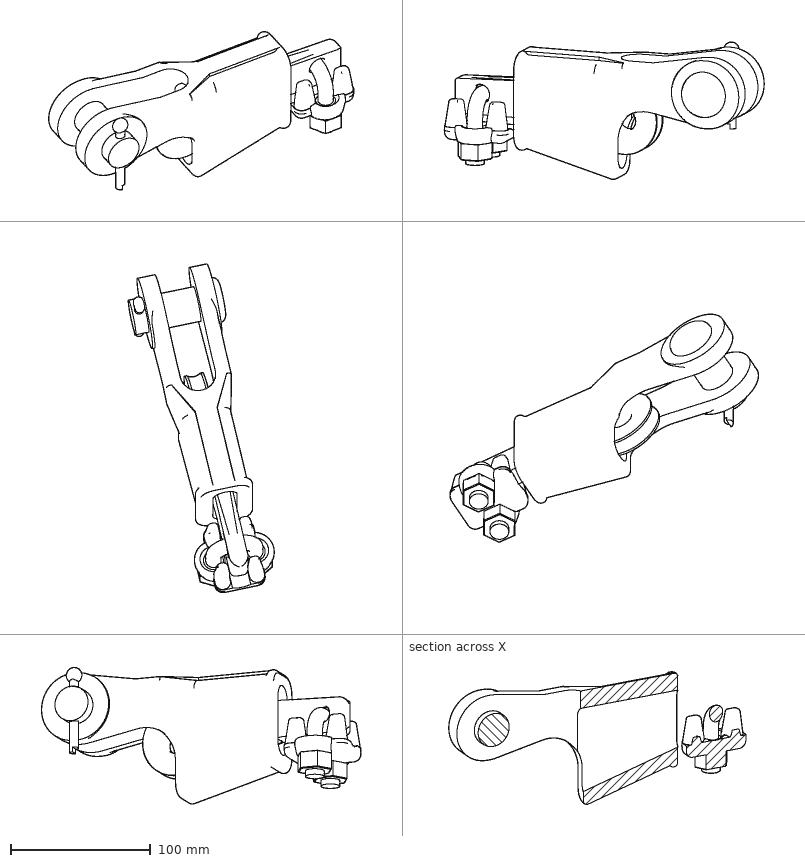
import cadquery as cq
import math


far = 300.0
sliver = 0.05
margin = 0.2

total_width = 65.94
total_length = 229.95

fork_half_gap = 12.7
ear_half_width = 25.4
ear_radius = 24.8
ear_stretch = 2.0
arm_half_width = 23.7
arm_edge_radius = 3.5
rim_radius = 3.4
arm_bend_y = 43.7

top_z = 17.5
body_half_width = 17.8
body_corner_radius = 9.8
spine_half_width = 8.0
spine_height = 2.5
body_top_z = top_z - spine_height
mouth_y = 72.0
back_y = 148.3
bottom_angle = math.radians(15)
bottom_slope = math.tan(bottom_angle)
mouth_bottom_z = -71.85

flare_end_y = 63.3
flare_start_y = 87.0
flare_end_step = 0.3
flare_cone_z = -16.5
flare_cone_y = 47.0

throat_radius = 25.4
throat_y = mouth_y - throat_radius
throat_z = -42.3

lip_height = 3.1
lip_length = 6.4
lip_edge_radius = 3.0
lip_root_radius = 2.8
lip_bottom_z = -54.6

pocket_half_width = 8.9
pocket_top_z = 7.5
pocket_floor = 7.9

pin_radius = 12.7
pin_end_x = 34.9
pin_head_radius = 16.5
pin_head_thickness = total_width - pin_end_x - ear_half_width
pin_head_fillet = 5.0

cotter_x = 29.85
cotter_radius = 3.3
cotter_eye_radius = 5.75
cotter_eye_half_width = 3.55
cotter_top_z = 27.6
cotter_long_leg_z = -35.2
cotter_short_leg_z = -31.7

wedge_half_width = 6.65
wedge_radius = 25.2
wedge_y = 68.7
wedge_z = -27.3
wedge_hole_y = 68.0
wedge_hole_z = -27.9
wedge_hole_radius = 7.7
wedge_hole_rounding = 2.7
wedge_top_angle = math.radians(1.9)
wedge_bottom_angle = bottom_angle
tail_end_y = 199.6
tail_bottom_z = -31.7
tail_corner_radius = 5.0
tail_hole_z = -17.1
tail_hole_radius = 6.9
tail_hole_rounding = 3.1
groove_radius = 8.5
groove_depth = 1.6
groove_fade_start_y = 140.0
groove_fade_end_y = 194.0

clip_y = 179.0
rod_radius = 5.55
thread_radius = 6.75
leg_x = 15.3
bend_z = -32.7
thread_end_z = -65.7
nut_across_corners = 25.8
nut_bottom_z = -61.6
nut_chamfer = 0.6
saddle_half_x = 18.4
saddle_half_y = total_length - ear_radius - ear_stretch - clip_y
saddle_bottom_z = -50.0
saddle_top_z = -40.0
saddle_corner_radius = 6.0
saddle_bottom_radius = 5.7
saddle_groove_radius = 12.0
saddle_groove_depth = 2.0
finger_base_z = -43.0
finger_top_z = -20.75
finger_base = (6.9, saddle_half_x, 6.8, saddle_half_y)
finger_top = (7.8, 15.5, 10.7, 20.6)
finger_base_radius = 5.7
finger_edge_radius = 2.8
finger_top_radius = 1.9
boss_radius = 14.8
boss_bottom_radius = 13.3
boss_bottom_z = -49.5
boss_top_z = -38.3
boss_rim_z = -42.0
boss_rim_radius = 1.8
boss_bottom_fillet = 1.5
boss_half_x = 28.9
recess_radius = 9.6
recess_depth = 2.5


def side_prism(sketch, half_width):
    """Extrude a YZ outline to both sides of the middle plane."""
    return sketch.extrude(half_width, both=True)


def x_cylinder(radius, y, z, half_length):
    return cq.Workplane("YZ").center(y, z).circle(radius).extrude(half_length, both=True)


def box(x_range, y_range, z_range):
    lengths = [r[1] - r[0] for r in (x_range, y_range, z_range)]
    return cq.Workplane("XY").box(*lengths, centered=False).translate((x_range[0], y_range[0], z_range[0]))


def bottom_z(y, z_at_mouth):
    return z_at_mouth + (y - mouth_y) * bottom_slope


def polar(y, z, radius, angle):
    return (y + radius * math.cos(angle), z + radius * math.sin(angle))


def round_bar(radius, start, end):
    """Round bar between two points of the YZ middle plane."""
    axis = cq.Vector(0, end[0] - start[0], end[1] - start[1])
    return cq.Workplane(cq.Solid.makeCylinder(radius, axis.Length, cq.Vector(0, *start), axis))


def arms():
    """Solid arm block, its sloped faces tangent to the ears and the throat."""
    rise_angle = math.atan2(top_z, arm_bend_y) + math.acos(ear_radius / math.hypot(arm_bend_y, top_z))
    throat_distance = math.hypot(throat_y, throat_z)
    fall_angle = math.atan2(throat_z, throat_y) - math.acos((ear_radius + throat_radius) / throat_distance)
    ear_low = polar(0, 0, ear_radius, fall_angle)
    throat_start = polar(throat_y, throat_z, -throat_radius, fall_angle)
    outline = (
        cq.Workplane("YZ")
        .moveTo(*polar(0, 0, ear_radius, rise_angle))
        .lineTo(arm_bend_y, top_z)
        .lineTo(flare_end_y, top_z)
        .lineTo(flare_end_y, flare_cone_z)
        .lineTo(flare_cone_y, flare_cone_z)
        .lineTo(flare_cone_y, throat_z)
        .lineTo(throat_start[0], throat_z)
        .lineTo(*throat_start)
        .lineTo(*ear_low)
        .close()
    )
    block = side_prism(outline, arm_half_width)
    upper_rims = cq.selectors.BoxSelector((-far, 0, top_z - margin), (far, flare_end_y - margin, ear_radius))
    return block.edges(upper_rims).edges("not |X").fillet(arm_edge_radius)


def flare_section(y, half_width, flat_half_width, step_z, side_z):
    """Section of the flare with a rounded shoulder under a flat top."""
    drop = step_z - side_z
    run = half_width - flat_half_width
    mid = (flat_half_width + run * math.sin(math.pi / 4), side_z + drop * math.sin(math.pi / 4))
    return (
        cq.Workplane("XZ", origin=(0, y, 0))
        .moveTo(-flat_half_width, top_z)
        .lineTo(flat_half_width, top_z)
        .lineTo(flat_half_width, step_z)
        .threePointArc(mid, (half_width, side_z))
        .lineTo(half_width, flare_cone_z)
        .lineTo(-half_width, flare_cone_z)
        .lineTo(-half_width, side_z)
        .threePointArc((-mid[0], mid[1]), (-flat_half_width, step_z))
        .close()
        .wires()
        .val()
    )


def flare():
    side_z = body_top_z - body_corner_radius
    wide_flat = arm_half_width - arm_edge_radius
    narrow = flare_section(flare_start_y, body_half_width, spine_half_width, body_top_z, side_z)
    step_z = top_z - flare_end_step
    wide = flare_section(flare_end_y, arm_half_width, wide_flat, step_z, top_z - arm_edge_radius)
    upper = cq.Workplane(cq.Solid.makeLoft([narrow, wide], True))
    small = flare_end_y - flare_cone_y
    large = flare_start_y - flare_cone_y
    half_outline = [(body_half_width, large), (arm_half_width, small), (arm_half_width, 0)]
    mirrored = [(-x, r) for x, r in reversed(half_outline)]
    cone = cq.Workplane("XY").polyline(half_outline + mirrored).close().revolve(360, (0, 0, 0), (1, 0, 0))
    cone = cone.translate((0, flare_cone_y, flare_cone_z))
    below = box((-far, far), (flare_cone_y, flare_start_y), (flare_cone_z - large, flare_cone_z))
    return upper.union(cone.intersect(below))


def body():
    outline = (
        cq.Workplane("YZ")
        .moveTo(mouth_y, body_top_z)
        .lineTo(back_y, body_top_z)
        .lineTo(back_y, bottom_z(back_y, mouth_bottom_z))
        .lineTo(mouth_y, mouth_bottom_z)
        .close()
    )
    shell = side_prism(outline, body_half_width)
    shell = shell.edges("not(|X or |Z)").fillet(body_corner_radius).union(lip())
    lip_start = back_y - lip_length
    lip_root = cq.selectors.BoxSelector((-far, lip_start - margin, -far), (far, lip_start + margin, far))
    shell = shell.edges(lip_root).fillet(lip_root_radius)
    spine = box((-spine_half_width, spine_half_width), (flare_start_y, back_y - lip_edge_radius), (0, top_z))
    return shell.union(spine)


def lip():
    half = body_half_width + lip_height
    ring = box((-half, half), (back_y - lip_length, back_y), (lip_bottom_z, top_z))
    ring = ring.edges("|Y").fillet(body_corner_radius + lip_height)
    return ring.faces("<Y or >Y").edges().fillet(lip_edge_radius)


def ears():
    outline = cq.Workplane("YZ").center(-ear_stretch / 2, 0)
    return side_prism(outline.slot2D(2 * ear_radius + ear_stretch, 2 * ear_radius), ear_half_width)


def pocket():
    """Wedge-shaped passage with a half-round floor and roof."""
    front_y = fork_half_gap
    end_y = back_y + pocket_half_width
    slant_radius = pocket_half_width * math.hypot(1, bottom_slope)
    floor_axis_z = mouth_bottom_z + pocket_floor + slant_radius
    floor_start = (front_y, bottom_z(front_y, floor_axis_z))
    floor_end = (end_y, bottom_z(end_y, floor_axis_z))
    roof_start = (front_y, pocket_top_z - pocket_half_width)
    roof_end = (end_y, pocket_top_z - pocket_half_width)
    sides = cq.Workplane("YZ").polyline([floor_start, floor_end, roof_end, roof_start]).close()
    passage = side_prism(sides, pocket_half_width)
    floor = round_bar(pocket_half_width, floor_start, floor_end)
    return passage.union(floor).union(round_bar(pocket_half_width, roof_start, roof_end))


def fork_gap():
    end_y = mouth_y - fork_half_gap
    gap = box((-fork_half_gap, fork_half_gap), (-2 * ear_radius, end_y), (-far, far))
    return gap.union(cq.Workplane("XY").center(0, end_y).circle(fork_half_gap).extrude(far, both=True))


def make_socket():
    blank = arms().union(flare()).union(body())
    blank = blank.cut(x_cylinder(throat_radius, throat_y, throat_z, far))
    blank = blank.cut(box((-far, far), (0, mouth_y), (-far, throat_z)))
    beside_ear = ear_radius / 2
    rim_box = cq.selectors.BoxSelector(
        (-margin, beside_ear, mouth_bottom_z + rim_radius), (margin, mouth_y + margin, -ear_radius / 2)
    )
    rim_faces = blank.faces(rim_box)
    mouth_base = cq.selectors.BoxSelector(
        (-margin, mouth_y - margin, mouth_bottom_z - margin),
        (margin, mouth_y + margin, mouth_bottom_z + margin),
    )
    rim_edges = rim_faces.edges("not |X").vals() + blank.edges(mouth_base).vals()
    blank = blank.newObject(rim_edges).fillet(rim_radius)
    blank = blank.union(ears())
    blank = blank.cut(fork_gap()).cut(pocket())
    return blank.cut(x_cylinder(pin_radius, 0, 0, ear_half_width))


def make_pin():
    length = pin_end_x + ear_half_width
    shank = cq.Workplane("YZ", origin=(-ear_half_width, 0, 0)).circle(pin_radius).extrude(length)
    head = cq.Workplane("YZ", origin=(-ear_half_width, 0, 0)).circle(pin_head_radius)
    head = head.extrude(-pin_head_thickness)
    head = head.faces("<X").edges().fillet(pin_head_fillet)
    cross_hole = cq.Workplane("XY").center(cotter_x, 0).circle(cotter_radius).extrude(pin_radius, both=True)
    return shank.union(head).cut(cross_hole)


def make_cotter():
    eye_z = cotter_top_z - cotter_eye_radius
    leg = cq.Workplane("XY", origin=(cotter_x, 0, cotter_long_leg_z))
    leg = leg.circle(cotter_radius).extrude(eye_z - cotter_long_leg_z)
    eye = x_cylinder(cotter_eye_radius, 0, eye_z, cotter_eye_half_width)
    eye = eye.edges().fillet(cotter_eye_half_width - sliver).translate((cotter_x, 0, 0))
    missing_tip = box((0, far), (0, far), (cotter_long_leg_z, cotter_short_leg_z))
    return leg.union(eye).cut(missing_tip)


def wedge_blank():
    """Round nose with a straight tail, its long sides tangent to the nose."""
    top_tangent = polar(wedge_y, wedge_z, wedge_radius, math.pi / 2 - wedge_top_angle)
    bottom_tangent = polar(wedge_y, wedge_z, wedge_radius, wedge_bottom_angle - math.pi / 2)
    tail_top_z = top_tangent[1] - (tail_end_y - top_tangent[0]) * math.tan(wedge_top_angle)
    tail_start_y = bottom_tangent[0] + (tail_bottom_z - bottom_tangent[1]) / math.tan(wedge_bottom_angle)
    outline = (
        cq.Workplane("YZ")
        .moveTo(*top_tangent)
        .lineTo(tail_end_y, tail_top_z)
        .lineTo(tail_end_y, tail_bottom_z)
        .lineTo(tail_start_y, tail_bottom_z)
        .lineTo(*bottom_tangent)
        .threePointArc((wedge_y - wedge_radius, wedge_z), top_tangent)
        .close()
    )
    blank = side_prism(outline, wedge_half_width)
    blank = blank.faces(">Y").edges("|X").fillet(tail_corner_radius)
    nose_to_tail = (wedge_y - wedge_radius - margin, tail_end_y)
    plan = box((-wedge_half_width, wedge_half_width), nose_to_tail, (-far, far))
    plan = plan.faces(">Y").edges("|Z").fillet(wedge_half_width - sliver)
    return blank.intersect(plan)


def rounded_hole(radius, rounding, y, z):
    """Through hole along X whose two rims are rounded over."""
    inner_x = wedge_half_width - rounding
    return (
        cq.Workplane("XY")
        .moveTo(-wedge_half_width, 0)
        .lineTo(-wedge_half_width, radius + rounding)
        .radiusArc((-inner_x, radius), -rounding)
        .lineTo(inner_x, radius)
        .radiusArc((wedge_half_width, radius + rounding), -rounding)
        .lineTo(wedge_half_width, 0)
        .close()
        .revolve(360, (0, 0, 0), (1, 0, 0))
        .translate((0, y, z))
    )


def rope_groove():
    """Rope groove around the nose and along both sides, fading out on the tail."""
    axis_radius = wedge_radius + groove_radius - groove_depth
    top_angle = math.pi / 2 - wedge_top_angle
    low_angle = wedge_bottom_angle - math.pi / 2
    top_start = polar(wedge_y, wedge_z, axis_radius, top_angle)
    bottom_start = polar(wedge_y, wedge_z, axis_radius, low_angle)

    def on_top(y, rise):
        return (y, top_start[1] - (y - top_start[0]) * math.tan(wedge_top_angle) + rise)

    fade_start = on_top(groove_fade_start_y, 0)
    fade_end = on_top(groove_fade_end_y, groove_depth)
    bottom_length = back_y - bottom_start[0]
    bottom_end = (back_y, bottom_start[1] + bottom_length * math.tan(wedge_bottom_angle))
    ring = cq.Workplane(cq.Solid.makeTorus(axis_radius, groove_radius, cq.Vector(), cq.Vector(1, 0, 0)))
    ring = ring.translate((0, wedge_y, wedge_z))
    reach = 2 * axis_radius
    nose_side = (
        cq.Workplane("YZ")
        .polyline(
            [
                (wedge_y, wedge_z),
                polar(wedge_y, wedge_z, reach, top_angle),
                (wedge_y - reach, wedge_z + reach),
                (wedge_y - reach, wedge_z - reach),
                polar(wedge_y, wedge_z, reach, low_angle),
            ]
        )
        .close()
    )
    ring = ring.intersect(side_prism(nose_side, axis_radius))
    runs = [(top_start, fade_start), (fade_start, fade_end), (bottom_start, bottom_end)]
    return [ring] + [round_bar(groove_radius, start, end) for start, end in runs]


def make_wedge():
    wedge = wedge_blank()
    for piece in rope_groove():
        wedge = wedge.cut(piece)
    wedge = wedge.cut(rounded_hole(wedge_hole_radius, wedge_hole_rounding, wedge_hole_y, wedge_hole_z))
    return wedge.cut(rounded_hole(tail_hole_radius, tail_hole_rounding, clip_y, tail_hole_z))


def u_bolt():
    nut_height = boss_bottom_z - nut_bottom_z
    bolt = cq.Workplane("XY", origin=(leg_x, 0, bend_z)).circle(rod_radius).revolve(
        180, (-leg_x, 0, 0), (-leg_x, -1, 0)
    )
    for x in (-leg_x, leg_x):
        rod = cq.Workplane("XY", origin=(x, 0, bend_z)).circle(rod_radius).extrude(saddle_bottom_z - bend_z)
        thread = cq.Workplane("XY", origin=(x, 0, thread_end_z)).circle(thread_radius)
        thread = thread.extrude(saddle_bottom_z - thread_end_z)
        nut = cq.Workplane("XY", origin=(x, 0, nut_bottom_z)).transformed(rotate=(0, 0, 90))
        nut = nut.polygon(6, nut_across_corners).extrude(nut_height)
        nut = nut.faces("<Z").edges().chamfer(nut_chamfer)
        bolt = bolt.union(rod).union(thread).union(nut)
    return bolt


def rounded_outline(z, bounds, radius):
    """Rounded rectangle as a wire at height z."""
    x0, x1, y0, y1 = bounds
    block = box((x0, x1), (y0, y1), (z, z + 1)).edges("|Z").fillet(radius)
    return block.faces("<Z").wires().val()


def finger():
    base = rounded_outline(finger_base_z, finger_base, finger_base_radius)
    top = rounded_outline(finger_top_z, finger_top, finger_edge_radius)
    column = cq.Workplane(cq.Solid.makeLoft([base, top], True))
    return column.faces(">Z").edges().fillet(finger_top_radius)


def saddle():
    block = box((-saddle_half_x, saddle_half_x), (-saddle_half_y, saddle_half_y), (saddle_bottom_z, saddle_top_z))
    block = block.edges("|Z").fillet(saddle_corner_radius)
    block = block.faces("<Z").edges().fillet(saddle_bottom_radius)
    groove_z = saddle_top_z + saddle_groove_radius - saddle_groove_depth
    groove = cq.Workplane("XZ").center(0, groove_z).circle(saddle_groove_radius).extrude(far, both=True)

    boss_length = 2 * boss_half_x
    rim_plane = cq.Workplane("XY", origin=(0, 0, boss_rim_z))
    skirt_height = boss_rim_z - boss_bottom_z
    draft = math.degrees(math.atan((boss_radius - boss_bottom_radius) / skirt_height))
    skirt = rim_plane.slot2D(boss_length, 2 * boss_radius).extrude(-skirt_height, taper=draft)
    skirt = skirt.faces("<Z").edges().fillet(boss_bottom_fillet)
    rim = rim_plane.slot2D(boss_length, 2 * boss_radius).extrude(boss_top_z - boss_rim_z)
    rim = rim.faces(">Z").edges().fillet(boss_rim_radius)
    base = block.union(skirt).union(rim)
    recess_bottom = recess_radius - recess_depth
    for x in (-leg_x, leg_x):
        foot = cq.Vector(x, 0, boss_top_z - recess_depth)
        recess = cq.Solid.makeCone(recess_bottom, recess_radius, recess_depth, foot)
        base = base.cut(cq.Workplane(recess))
    base = base.cut(groove)
    for mirror_planes in ([], ["YZ"], ["XZ"], ["YZ", "XZ"]):
        piece = finger()
        for plane in mirror_planes:
            piece = piece.mirror(plane)
        base = base.union(piece)
    return base


def make_clip():
    return saddle().union(u_bolt()).translate((0, clip_y, 0))


socket = make_socket().solids()
pin = make_pin().solids()
cotter = make_cotter().solids()
wedge = make_wedge().solids()
clip = make_clip().solids()
result = cq.Compound.makeCompound([*socket.vals(), *pin.vals(), *cotter.vals(), *wedge.vals(), *clip.vals()])